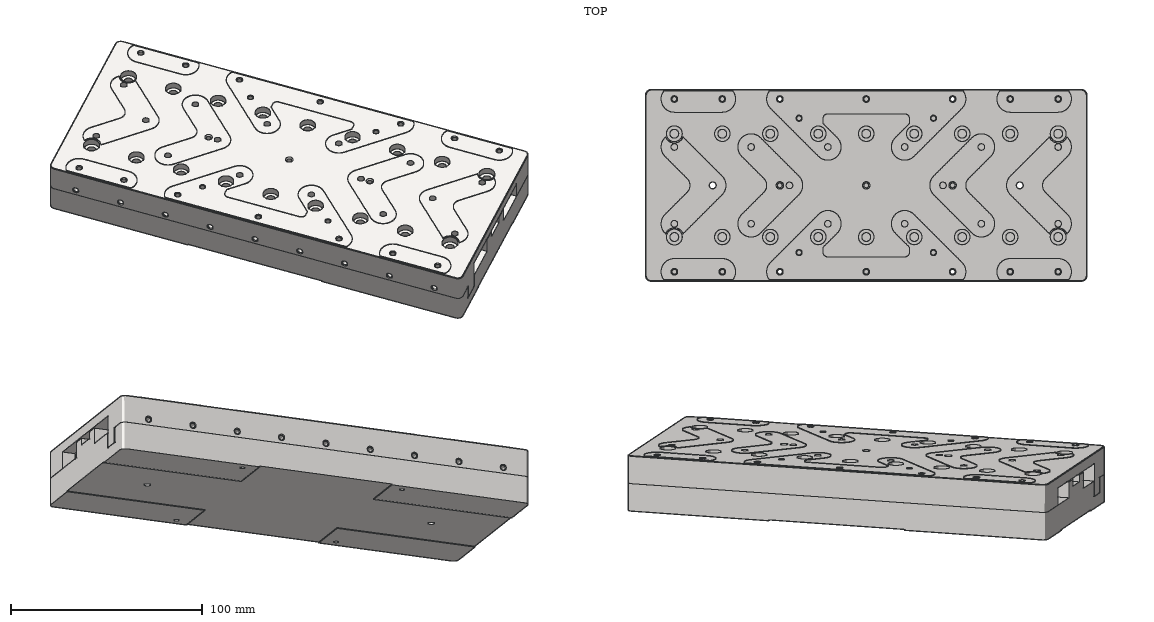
import cadquery as cq
import math

length = 230.0
width = 100.0
height = 30.0
grid = length / 46
corner_radius = 3.0

split_z = 14.7
relief_depth = 0.5
relief_length = 74.5
relief_width = 49.7
spine_width = 24.4
spine_top_z = 23.2
groove_width = 10.8
groove_floor_z = 19.5
slot_y_min = -40.2
slot_y_max = -30.4
slot_floor_z = 6.5

tunnel_width = 62.0
tunnel_top_z = 24.0
keel_thickness = 8.3
ledge_setback = 7.0
ledge_width = 8.7
ledge_depth = 1.0
shoulder_width = 0.7

pad_height = 0.3
pad_radius = 7.0
pad_bend_radius = 5.0
pad_margin = 1.0
edge_chamfer = 0.35
strip_edge_y = 37.3
notch_half_length = 22.5
notch_radius = 2.5

screw_y = 27.0
screw_diameter = 4.5
screw_head_diameter = 8.0
screw_head_depth = 4.0
end_head_diameter = 8.3
end_spotface_diameter = 9.7
tap_diameter = 2.5
tap_mouth_diameter = 3.5
wide_mouth_diameter = 4.0
small_mouth_diameter = 3.2
tap_depth = 9.2
dowel_diameter = 3.5
side_hole_z = 18.0

strip_width = 9.2
strip_length = 138.0

floor_z = height - pad_height
edge_y = 9 * grid
end_x = 20 * grid
column_pitch = 5 * grid
columns = range(-4, 5)
dowel_offset = 4 * grid
arm_tap_offset = 7 * grid
inner_tip_x = 8 * grid
outer_tip_x = 16 * grid


def block(x_size, y_min, y_max, z_min, z_max):
    """Box centred on X between the given Y and Z limits."""
    return (
        cq.Workplane("XY")
        .box(x_size, y_max - y_min, z_max - z_min, centered=(True, False, False))
        .translate((0, y_min, z_min))
    )


def rounded_block(z_min, z_max):
    """Full-size slab with rounded upright corners."""
    return block(length, -width / 2, width / 2, z_min, z_max).edges("|Z").fillet(corner_radius)


def cylinders(points, diameter, z_min, z_max):
    """Upright cylinders at the given points."""
    return (
        cq.Workplane("XY", origin=(0, 0, z_min))
        .pushPoints(points)
        .circle(diameter / 2)
        .extrude(z_max - z_min)
    )


def four_ways(x, y):
    """The point and its mirror images in both axes."""
    return [(sx * x, sy * y) for sx in (-1, 1) for sy in (-1, 1)]


screw_points = [(i * column_pitch, sy * screw_y) for i in columns for sy in (-1, 1)]
end_screw_points = four_ways(end_x, screw_y)
tap_points = (
    four_ways(end_x, edge_y)
    + four_ways(end_x - column_pitch, edge_y)
    + [(0, -edge_y), (0, edge_y)]
)
centre_tap_points = [(-edge_y, 0), (0, 0), (edge_y, 0)]
arm_tap_points = four_ways(arm_tap_offset, arm_tap_offset)
corner_tap_points = four_ways(edge_y, edge_y)
dowel_points = (
    four_ways(end_x, dowel_offset)
    + four_ways(inner_tip_x + dowel_offset, dowel_offset)
    + four_ways(dowel_offset, dowel_offset)
    + [(-inner_tip_x, 0), (inner_tip_x, 0)]
)
open_points = [(-outer_tip_x, 0), (outer_tip_x, 0)]


def pad_arm(start, end):
    """Round-ended pad from one point to another."""
    span_x = end[0] - start[0]
    span_y = end[1] - start[1]
    middle = ((start[0] + end[0]) / 2, (start[1] + end[1]) / 2, floor_z)
    return (
        cq.Workplane("XY")
        .slot2D(math.hypot(span_x, span_y) + 2 * pad_radius, 2 * pad_radius)
        .extrude(pad_height)
        .rotate((0, 0, 0), (0, 0, 1), math.degrees(math.atan2(span_y, span_x)))
        .translate(middle)
    )


def chevron_pad(side, tip_x):
    """V-shaped pad whose arms run outwards from its tip at a 45 degree slope."""
    tip = (side * tip_x, 0)
    arm_end_x = side * (tip_x + dowel_offset)
    inner_bend_x = side * (tip_x + math.sqrt(2) * pad_radius)
    chevron = pad_arm(tip, (arm_end_x, dowel_offset)).union(pad_arm(tip, (arm_end_x, -dowel_offset)))
    bend = cq.selectors.NearestToPointSelector((inner_bend_x, 0, height - pad_height / 2))
    return chevron.edges("|Z").edges(bend).fillet(pad_bend_radius)


def long_pad(side):
    """Pad along the middle of a long side, with two arms slanting inwards."""
    outer_y = side * edge_y
    inner_y = side * dowel_offset
    web = (
        cq.Workplane("XY", origin=(0, 0, floor_z))
        .polyline([
            (-edge_y, outer_y),
            (-dowel_offset, inner_y),
            (dowel_offset, inner_y),
            (edge_y, outer_y),
        ])
        .close()
        .extrude(pad_height)
    )
    notch = (
        block(2 * notch_half_length, 0, strip_edge_y, floor_z, height)
        .edges("|Z and >Y")
        .fillet(notch_radius)
    )
    if side < 0:
        notch = notch.mirror("XZ")
    pad = web.cut(notch).union(pad_arm((-edge_y, outer_y), (edge_y, outer_y)))
    for sx in (-1, 1):
        pad = pad.union(pad_arm((sx * edge_y, outer_y), (sx * dowel_offset, inner_y)))
    return pad


def all_pads():
    """Every raised pad, kept clear of the long edges and of the end screw heads."""
    pads = long_pad(1).union(long_pad(-1))
    for sx in (-1, 1):
        pads = pads.union(chevron_pad(sx, inner_tip_x))
        pads = pads.union(chevron_pad(sx, outer_tip_x))
        for sy in (-1, 1):
            outer_end = (sx * end_x, sy * edge_y)
            inner_end = (sx * (end_x - column_pitch), sy * edge_y)
            pads = pads.union(pad_arm(outer_end, inner_end))
    pad_edge_y = width / 2 - pad_margin
    pads = pads.intersect(block(length, -pad_edge_y, pad_edge_y, floor_z, height))
    return pads.cut(cylinders(end_screw_points, end_spotface_diameter, floor_z, height))


def make_base():
    """Base with its grooved spine, keel slot, foot relief and through holes."""
    base = rounded_block(0, split_z)
    base = base.union(block(length, -spine_width / 2, spine_width / 2, split_z, spine_top_z))
    base = base.cut(block(length, -groove_width / 2, groove_width / 2, groove_floor_z, spine_top_z))
    base = base.cut(block(length, slot_y_min, slot_y_max, slot_floor_z, split_z))
    base = base.cut(block(relief_length, -width / 2, width / 2, 0, relief_depth))
    base = base.cut(block(length, -relief_width / 2, relief_width / 2, 0, relief_depth))
    base = base.cut(cylinders(corner_tap_points, tap_diameter, 0, split_z))
    return base.cut(cylinders(open_points, dowel_diameter, 0, spine_top_z))


def countersunk_taps(points, mouth_diameter, surface_z, depth):
    """Tapped holes with a conical mouth, opening upwards at the given height."""
    mouth_depth = (mouth_diameter - tap_diameter) / 2
    mouth = cq.Solid.makeCone(tap_diameter / 2, mouth_diameter / 2, mouth_depth)
    mouths = cq.Workplane("XY").pushPoints(points).eachpoint(lambda place: mouth.moved(place))
    return cylinders(points, tap_diameter, surface_z - depth, surface_z).union(
        mouths.translate((0, 0, surface_z - mouth_depth))
    )


def side_taps():
    """Row of tapped holes along the -Y side."""
    mouth_depth = (tap_mouth_diameter - tap_diameter) / 2
    points = [(i * column_pitch, side_hole_z) for i in columns]
    face = cq.Workplane("XZ", origin=(0, -width / 2, 0)).pushPoints(points)
    holes = face.circle(tap_diameter / 2).extrude(-tap_depth)
    mouths = face.circle(tap_mouth_diameter / 2).extrude(-mouth_depth, taper=45)
    return holes.union(mouths)


def make_table():
    """Table plate with its raised pads, tunnel, keel, ledges and holes."""
    half_tunnel = tunnel_width / 2
    table = rounded_block(split_z, floor_z).faces(">Z").edges().chamfer(edge_chamfer)
    table = table.union(all_pads())
    table = table.cut(block(length, -half_tunnel, half_tunnel, split_z, tunnel_top_z))
    table = table.union(
        block(length, -half_tunnel - keel_thickness, -half_tunnel, slot_floor_z, split_z)
    )

    ledge_length = length - 2 * ledge_setback
    ledge_z = tunnel_top_z - ledge_depth
    for y_min in (-half_tunnel, half_tunnel - ledge_width):
        table = table.union(block(ledge_length, y_min, y_min + ledge_width, ledge_z, tunnel_top_z))
    table = table.union(
        block(ledge_length, half_tunnel - shoulder_width, half_tunnel, split_z, tunnel_top_z)
    )

    table_depth = height - split_z
    head_floor_z = height - screw_head_depth
    table = table.cut(cylinders(screw_points, screw_diameter, split_z, height))
    table = table.cut(cylinders(screw_points, screw_head_diameter, head_floor_z, height))
    table = table.cut(cylinders(end_screw_points, end_head_diameter, head_floor_z, height))
    table = table.cut(cylinders(dowel_points + open_points, dowel_diameter, split_z, height))
    table = table.cut(countersunk_taps(tap_points, tap_mouth_diameter, height, tap_depth))
    table = table.cut(countersunk_taps(arm_tap_points, small_mouth_diameter, height, tap_depth))
    table = table.cut(countersunk_taps(corner_tap_points, tap_mouth_diameter, height, table_depth))
    for point in centre_tap_points:
        surface_z = floor_z if point == (0, 0) else height
        table = table.cut(countersunk_taps([point], wide_mouth_diameter, surface_z, tap_depth))
    return table.cut(side_taps())


def make_strip():
    """Flat bar standing in the spine groove and reaching the tunnel roof."""
    return block(strip_length, -strip_width / 2, strip_width / 2, groove_floor_z, tunnel_top_z)


base = make_base()
table = make_table()
strip = make_strip()
result = cq.Compound.makeCompound([base.solids().val(), table.solids().val(), strip.val()])